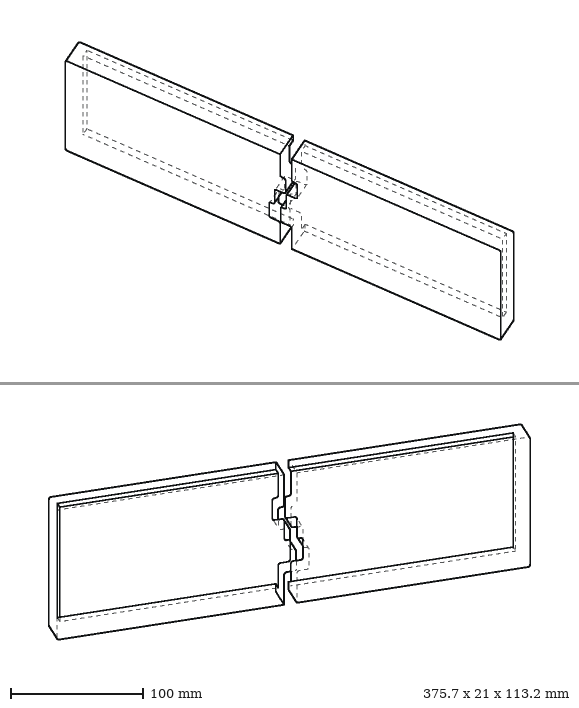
import cadquery as cq

key_pitch = 19.05
key_rows = 5
left_key_columns = 9.25
right_key_columns = 9
border = 9.0
half_gap = 10.0

case_depth = 21.0
floor_thickness = 15.0
rim_width = 7.0
corner_radius = 2.0
rear_edge_radius = 1.0
step_radius = 2.0

row_shifts = [0, -0.5, -0.25, 0.25, 0]

left_width = border + left_key_columns * key_pitch
right_width = border + right_key_columns * key_pitch
total_width = left_width + half_gap + right_width
case_height = key_rows * key_pitch + 2 * border

left_side = -total_width / 2
right_side = total_width / 2
bottom = -case_height / 2
top = case_height / 2
left_joint = left_side + left_width
right_joint = right_side - right_width


def joint_points(joint_x):
    """Points (x, z) of the stepped joint line, from the bottom edge to the top edge."""
    points = []
    last_row = key_rows - 1
    for row, shift in enumerate(row_shifts):
        x = joint_x + shift * key_pitch
        row_bottom = bottom if row == 0 else bottom + border + row * key_pitch
        row_top = top if row == last_row else bottom + border + (row + 1) * key_pitch
        points += [(x, row_bottom), (x, row_top)]
    return points


def prism(points):
    """Extrude an (x, z) outline from the front face back through the whole case depth."""
    return cq.Workplane("XZ").polyline(points).close().extrude(-case_depth)


def rounded_tray():
    """Uncut case: a closed front plate with a raised rear rim on all four sides."""
    outline = [(left_side, bottom), (right_side, bottom), (right_side, top), (left_side, top)]
    block = prism(outline)
    block = block.edges("|Y").fillet(corner_radius)
    block = block.faces(">Y").edges().fillet(rear_edge_radius)
    recess = cq.Workplane("XY").box(
        total_width - 2 * rim_width,
        case_depth - floor_thickness,
        case_height - 2 * rim_width,
        centered=(True, False, True),
    )
    return block.cut(recess.translate((0, floor_thickness, 0)))


def joint_region(joint_x, outer_x):
    """Full-depth region from one outer side to the joint, with rounded step corners."""
    outline = joint_points(joint_x) + [(outer_x, top), (outer_x, bottom)]
    region = prism(outline)
    step_zone = cq.selectors.BoxSelector(
        (joint_x - key_pitch, 0, bottom + border),
        (joint_x + key_pitch, case_depth, top - border),
    )
    return region.edges("|Y").edges(step_zone).fillet(step_radius)


def case_half(joint_x, outer_x):
    """One half of the tray, cut off along its stepped joint."""
    return rounded_tray().intersect(joint_region(joint_x, outer_x)).solids()


left_half = case_half(left_joint, left_side)
right_half = case_half(right_joint, right_side)

result = cq.Compound.makeCompound([left_half.val(), right_half.val()])